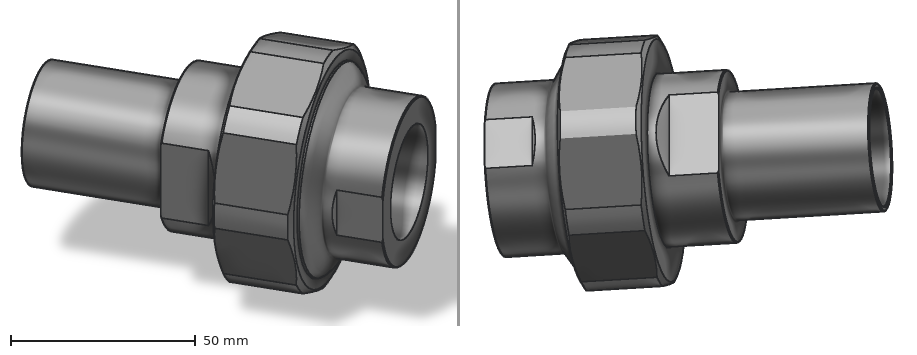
import cadquery as cq
import math


TOTAL_LENGTH = 105.0
BORE_RADIUS = 32.0 / 2
EDGE_CHAMFER = 0.3

COLLAR_RADIUS = 47.0 / 2
TUBE_RADIUS = 35.0 / 2
TUBE_EDGE_CHAMFER = 0.3
COLLAR_START = 40.8
TUBE_ROOT_FILLET = 0.6
TAIL_FLAT_OFFSET = 20.5
TAIL_FLAT_END = 54.5

NUT_START = 59.8
NUT_LENGTH = 23.1
NUT_END = NUT_START + NUT_LENGTH
NUT_CORNER_RADIUS = 69.7 / 2
NUT_SIDES = 8
NUT_APOTHEM = 33.5
NUT_FACE_RADIUS = 33.0
NUT_CHAMFER_ANGLE = 30.0
NUT_LIP_THICKNESS = 4.2
NUT_LIP_RADIUS = 47.5 / 2
NUT_BORE_RADIUS = 60.0 / 2
JOINT = NUT_START + NUT_LIP_THICKNESS

SOCKET_RADIUS = 23.6
SHOULDER_RADIUS = 59.5 / 2
SHOULDER_END = 83.5
DOME_MIDDLE = (84.4, 28.9)
DOME_END = (85.3, 27.7)
CONE_END = (87.8, 23.9)
NECK_START = 88.4
SOCKET_FLAT_OFFSET = 22.6
SOCKET_FLAT_START = 91.9


def revolve_about_x(profile):
    """Turn an (x, radius) outline into a solid of revolution about X."""
    return profile.close().revolve(360, (0, 0, 0), (1, 0, 0))


def cylinder_along_x(start, end, radius):
    return cq.Workplane("YZ", origin=(start, 0, 0)).circle(radius).extrude(end - start)


def wrench_flats(face_x, stop_x, offset):
    """Cutters for two flats on +Y and -Y, each running out at 45 degrees past stop_x."""
    depth = SOCKET_RADIUS
    runout_x = stop_x + math.copysign(depth, stop_x - face_x)
    cutter = (
        cq.Workplane("XY")
        .polyline([(face_x, offset), (stop_x, offset), (runout_x, offset + depth), (face_x, offset + depth)])
        .close()
        .extrude(SOCKET_RADIUS, both=True)
    )
    return cutter.union(cutter.mirror("XZ"))


def make_tailpiece():
    outline = (
        cq.Workplane("XY")
        .moveTo(0, BORE_RADIUS + TUBE_EDGE_CHAMFER)
        .lineTo(0, TUBE_RADIUS - TUBE_EDGE_CHAMFER)
        .lineTo(TUBE_EDGE_CHAMFER, TUBE_RADIUS)
        .lineTo(COLLAR_START - TUBE_ROOT_FILLET, TUBE_RADIUS)
        .tangentArcPoint((TUBE_ROOT_FILLET, TUBE_ROOT_FILLET))
        .lineTo(COLLAR_START, COLLAR_RADIUS - EDGE_CHAMFER)
        .lineTo(COLLAR_START + EDGE_CHAMFER, COLLAR_RADIUS)
        .lineTo(JOINT, COLLAR_RADIUS)
        .lineTo(JOINT, BORE_RADIUS)
        .lineTo(TUBE_EDGE_CHAMFER, BORE_RADIUS)
    )
    flats = wrench_flats(COLLAR_START, TAIL_FLAT_END, TAIL_FLAT_OFFSET)
    return revolve_about_x(outline).cut(flats)


def make_nut():
    octagon = (
        cq.Workplane("YZ", origin=(NUT_START, 0, 0))
        .polygon(NUT_SIDES, 2 * NUT_APOTHEM, circumscribed=True)
        .extrude(NUT_LENGTH)
        .rotate((0, 0, 0), (1, 0, 0), 180 / NUT_SIDES)
    )
    chamfer_length = (NUT_CORNER_RADIUS - NUT_FACE_RADIUS) * math.tan(math.radians(NUT_CHAMFER_ANGLE))
    envelope = revolve_about_x(
        cq.Workplane("XY")
        .moveTo(NUT_START, 0)
        .lineTo(NUT_START, NUT_FACE_RADIUS)
        .lineTo(NUT_START + chamfer_length, NUT_CORNER_RADIUS)
        .lineTo(NUT_END - chamfer_length, NUT_CORNER_RADIUS)
        .lineTo(NUT_END, NUT_FACE_RADIUS)
        .lineTo(NUT_END, 0)
    )
    lip_hole = cylinder_along_x(NUT_START, JOINT, NUT_LIP_RADIUS)
    main_bore = cylinder_along_x(JOINT, NUT_END, NUT_BORE_RADIUS)
    return octagon.intersect(envelope).cut(lip_hole).cut(main_bore)


def make_socket_end():
    outline = (
        cq.Workplane("XY")
        .moveTo(JOINT, BORE_RADIUS)
        .lineTo(JOINT, SHOULDER_RADIUS)
        .lineTo(SHOULDER_END, SHOULDER_RADIUS)
        .threePointArc(DOME_MIDDLE, DOME_END)
        .lineTo(*CONE_END)
        .tangentArcPoint((NECK_START, SOCKET_RADIUS), relative=False)
        .lineTo(TOTAL_LENGTH - EDGE_CHAMFER, SOCKET_RADIUS)
        .lineTo(TOTAL_LENGTH, SOCKET_RADIUS - EDGE_CHAMFER)
        .lineTo(TOTAL_LENGTH, BORE_RADIUS)
    )
    flats = wrench_flats(TOTAL_LENGTH, SOCKET_FLAT_START, SOCKET_FLAT_OFFSET)
    return revolve_about_x(outline).cut(flats)


tailpiece = make_tailpiece()
nut = make_nut()
socket_end = make_socket_end()

result = cq.Compound.makeCompound([tailpiece.val(), nut.val(), socket_end.val()])